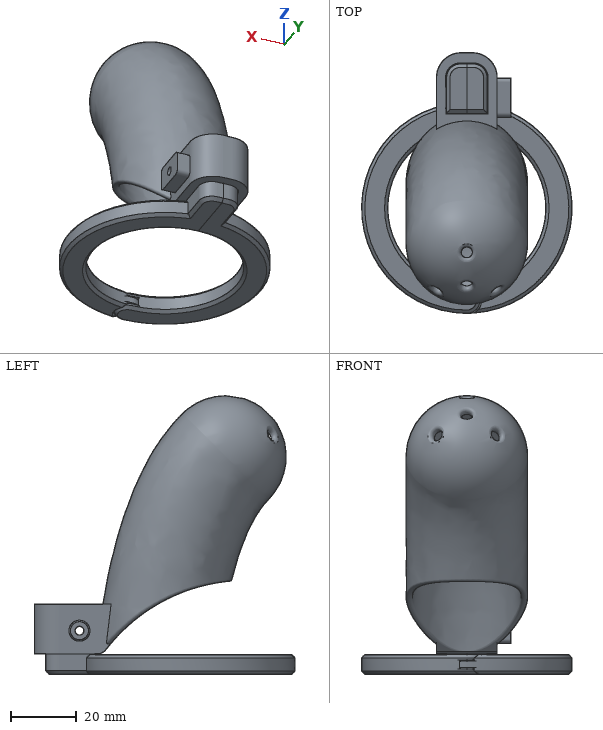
import cadquery as cq
import math

RING_OUTER_R = 32.0
RING_WIDTH = 8.0
RING_INNER_R = RING_OUTER_R - RING_WIDTH
RING_MID_R = RING_OUTER_R - RING_WIDTH / 2
RING_HEIGHT = 6.0
RING_CHAMFER = 1.0

HINGE_R = RING_WIDTH / 2
HINGE_SOCKET_R = HINGE_R + 0.5
HINGE_LEAF = 1.6
HINGE_GAP = 0.4

CORNER_Y = 39.65
HOUSING_WIDTH = 18.5
HOUSING_CORNER_R = 7.6
HOUSING_BOTTOM_Z = 6.2
HOUSING_TOP_Z = 21.3
SLOT_WIDTH = 12.8
SLOT_CORNER_R = 4.4
SLOT_FRONT_Y = 28.6
TONGUE_GAP = 0.2
TONGUE_DROP = 0.5
TONGUE_CHAMFER = 1.1

LOCK_Y = 33.55
LOCK_Z = 13.25
LOCK_R = 3.2
LOCK_BORE_R = 1.3
LOCK_CHAMFER = 0.45
LOCK_HEAD_LENGTH = 4.15
LOCK_HEAD_WIDTH = 11.9
LOCK_HEAD_HEIGHT = 7.8
LOCK_HEAD_FILLET = 1.3

TUBE_R = 18.5
WALL = 2.0
DOME_Y = -10.85
DOME_Z = 66.2
DOME_TILT = 45.0
BEND_Y = 2.64
BEND_Z = 41.8
FOOT_Y = 10.0
FOOT_Z = -2.0
FOOT_TILT = 2.0
RIM_FILLET = 0.8
HEEL_CHAMFER = 0.9

ARCH_Y = -17.0
ARCH_Z = -25.0
ARCH_R = 53.5

VENT_R = 1.7
VENT_FILLET = 1.0
VENT_TILT = 36.0
SIDE_VENTS = 3

TALL = 200.0


def rounded_lug(width, front_y, corner_y, corner_r, bottom_z, top_z):
    """Upright block with a straight front and two round corners at the back."""
    depth = corner_y + corner_r - front_y
    return (
        cq.Workplane("XY", origin=(0, front_y + depth / 2, bottom_z))
        .rect(width, depth)
        .extrude(top_z - bottom_z)
        .edges("|Z and >Y")
        .fillet(corner_r)
    )


def x_cylinder(radius, x_start, x_end):
    """Cylinder on the lock axis."""
    return cq.Workplane("YZ", origin=(x_start, LOCK_Y, LOCK_Z)).circle(radius).extrude(x_end - x_start)


def tube_solid(radius):
    """Bent tube and dome, filled to the given radius."""
    tilt = math.radians(DOME_TILT)
    foot = math.radians(FOOT_TILT)
    path = cq.Workplane("YZ").spline(
        [(DOME_Y, DOME_Z), (BEND_Y, BEND_Z), (FOOT_Y, FOOT_Z)],
        tangents=[(math.sin(tilt), -math.cos(tilt)), (math.sin(foot), -math.cos(foot))],
    )
    start = cq.Plane(
        origin=(0, DOME_Y, DOME_Z),
        xDir=(1, 0, 0),
        normal=(0, math.sin(tilt), -math.cos(tilt)),
    )
    tube = cq.Workplane(start).circle(radius).sweep(path)
    dome = cq.Workplane("XY", origin=(0, DOME_Y, DOME_Z)).sphere(radius)
    below = cq.Workplane(start).rect(TALL, TALL).extrude(TALL)
    return tube.union(dome.cut(below))


def arch_cutter():
    """Cylinder across X that hollows the underside of the tube and housing."""
    return cq.Workplane("YZ", origin=(0, ARCH_Y, ARCH_Z)).circle(ARCH_R).extrude(TALL / 2, both=True)


def vent_cutter(tilt, turn):
    """Round hole through the dome, tilted from the dome axis and turned about it."""
    return (
        cq.Workplane("XY")
        .circle(VENT_R)
        .extrude(TUBE_R + WALL)
        .rotate((0, 0, 0), (1, 0, 0), -tilt)
        .rotate((0, 0, 0), (0, 0, 1), turn)
        .rotate((0, 0, 0), (1, 0, 0), DOME_TILT)
        .translate((0, DOME_Y, DOME_Z))
    )


def make_cage():
    """Domed tube with its lock housing."""
    housing = rounded_lug(
        HOUSING_WIDTH, FOOT_Y, CORNER_Y, HOUSING_CORNER_R, HOUSING_BOTTOM_Z, HOUSING_TOP_Z
    )
    slot = rounded_lug(SLOT_WIDTH, SLOT_FRONT_Y, CORNER_Y, SLOT_CORNER_R, 0, HOUSING_TOP_Z)
    bore = x_cylinder(LOCK_R, -HOUSING_WIDTH / 2, HOUSING_WIDTH / 2)
    housing = housing.cut(slot).cut(bore)

    below_housing = cq.Workplane("XY", origin=(0, 0, HOUSING_BOTTOM_Z - TALL)).rect(TALL, TALL).extrude(TALL)
    cage = tube_solid(TUBE_R).cut(below_housing).union(housing)
    cage = cage.cut(tube_solid(TUBE_R - WALL)).cut(arch_cutter())

    arch_face = cage.faces("%CYLINDER").faces("<Y")
    cage = arch_face.edges("%BSPLINE").fillet(RIM_FILLET)

    cage = cage.cut(vent_cutter(0, 0))
    for i in range(SIDE_VENTS):
        cage = cage.cut(vent_cutter(VENT_TILT, 360 / SIDE_VENTS * i))
    outer_dome = cage.faces("%SPHERE").faces("<Y")
    vent_mouths = outer_dome.edges("%CIRCLE").edges(cq.selectors.RadiusNthSelector(0))
    cage = vent_mouths.fillet(VENT_FILLET)
    return cage.faces("<Z").edges("<Y").chamfer(HEEL_CHAMFER)


def make_lock():
    """Bored barrel through the housing with a rounded head on the +X side."""
    half = HOUSING_WIDTH / 2
    barrel = x_cylinder(LOCK_R, -half, half).faces("<X").chamfer(LOCK_CHAMFER)
    head = (
        cq.Workplane("YZ", origin=(half, LOCK_Y, LOCK_Z))
        .rect(LOCK_HEAD_WIDTH, LOCK_HEAD_HEIGHT)
        .extrude(LOCK_HEAD_LENGTH)
        .edges("|X")
        .fillet(LOCK_HEAD_FILLET)
    )
    return barrel.union(head).cut(x_cylinder(LOCK_BORE_R, -half, half + LOCK_HEAD_LENGTH))


def make_full_ring():
    """Complete ring with the tongue that stands in the housing slot."""
    ring = cq.Workplane("XY").circle(RING_OUTER_R).circle(RING_INNER_R).extrude(RING_HEIGHT)
    ring = ring.faces("|Z").edges().chamfer(RING_CHAMFER)
    tongue = rounded_lug(
        SLOT_WIDTH - 2 * TONGUE_GAP,
        SLOT_FRONT_Y + TONGUE_GAP,
        CORNER_Y,
        SLOT_CORNER_R - TONGUE_GAP,
        0,
        HOUSING_TOP_Z - TONGUE_DROP,
    )
    tongue = tongue.faces("|Z").edges().chamfer(TONGUE_CHAMFER)
    return ring.union(tongue).cut(x_cylinder(LOCK_R, -HOUSING_WIDTH / 2, HOUSING_WIDTH / 2))


def hinge_disc(radius, bottom_z, top_z):
    """Disc on the upright hinge axis at the front of the ring."""
    return cq.Workplane("XY", origin=(0, -RING_MID_R, bottom_z)).circle(radius).extrude(top_z - bottom_z)


def half_space(side):
    """Large block filling the -X side (side = -1) or the +X side (side = 1)."""
    return cq.Workplane("XY").box(TALL, TALL, TALL).translate((side * TALL / 2, 0, 0))


def make_left_half(full_ring):
    """Half on the -X side, ending in two hinge leaves around a socket."""
    rounded_end = hinge_disc(HINGE_R, 0, RING_HEIGHT).faces("|Z").edges().chamfer(RING_CHAMFER)
    leaves = full_ring.intersect(rounded_end)
    socket = hinge_disc(HINGE_SOCKET_R, HINGE_LEAF, RING_HEIGHT - HINGE_LEAF)
    return full_ring.intersect(half_space(-1)).union(leaves).cut(socket)


def make_right_half(full_ring):
    """Half on the +X side, ending in one knuckle between the leaves."""
    knuckle_bottom = HINGE_LEAF + HINGE_GAP
    knuckle_top = RING_HEIGHT - knuckle_bottom
    knuckle = full_ring.intersect(hinge_disc(HINGE_R, knuckle_bottom, knuckle_top))
    lower_socket = hinge_disc(HINGE_SOCKET_R, 0, knuckle_bottom)
    upper_socket = hinge_disc(HINGE_SOCKET_R, knuckle_top, RING_HEIGHT)
    half = full_ring.intersect(half_space(1))
    return half.cut(lower_socket).cut(upper_socket).union(knuckle)


full_ring = make_full_ring()
cage = make_cage()
left_half = make_left_half(full_ring)
right_half = make_right_half(full_ring)
lock = make_lock()

result = cq.Compound.makeCompound([cage.val(), left_half.val(), right_half.val(), lock.val()])